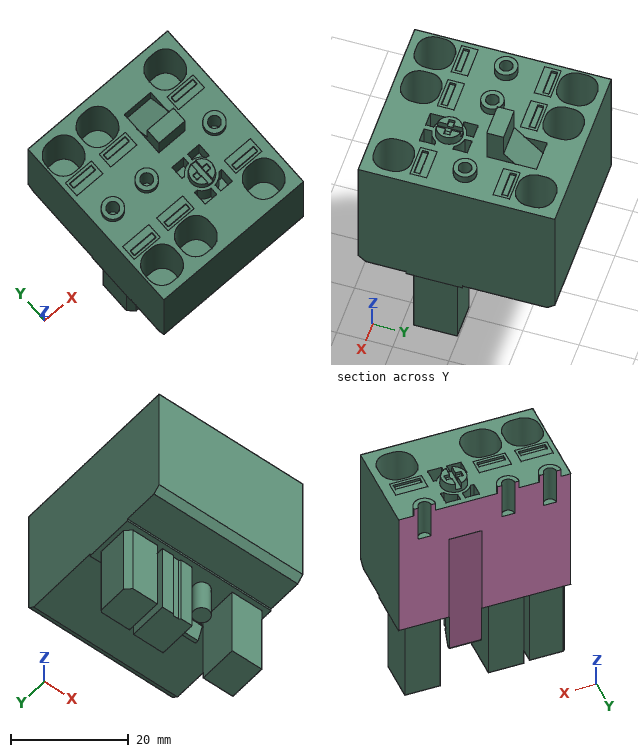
import cadquery as cq


housing_x = 31.5
housing_y = 35.05
housing_bottom = 16.0
housing_top = 41.1
edge_chamfer_y = 1.4
edge_chamfer_z = 1.2

pad_bottom = 15.5
pad_front = -9.0
pad_back = 1.05

pole_pitch = 7.65
first_pole_x = -11.92
pole_xs = [first_pole_x + pole_pitch * i for i in (0, 1, 3)]

wire_hole_size = 6.75
wire_hole_corner_radius = 2.8
wire_hole_y = 12.7
wire_hole_depth = 16.7

tube_outer_radius = 2.0
tube_bore_radius = 1.15
tube_top = 42.65
tube_bore_depth = 7.15

leg_offset_x = 0.3
leg_width = 6.5
leg_front = -8.0
leg_back = -0.25
end_leg_back = -0.55
end_leg_big_chamfer = 1.15
end_leg_small_chamfer = 0.35
groove_width = 1.65
groove_depth = 0.3

terminal_x = 5.85
terminal_y = 2.95
terminal_height = 14.3
terminal_center_y = 7.4
terminal_slot_x = 4.85
terminal_slot_y = 1.05
terminal_slot_shift = 0.45
terminal_slot_depth = 0.5

screw_x = 3.63
screw_y = -5.15
shaft_radius = 1.65
shaft_bottom = 8.75
head_base_radius = 2.4
head_top_radius = 2.25
head_top = 42.8
drive_width = 1.05
drive_slot_depth = 1.1
drive_cross_depth = 0.55
drive_cross_length = 3.1

pocket_field_x = 6.1
pocket_field_y = 8.55
pocket_field_center_y = -5.25
pocket_rib_width = 0.9
pocket_band_y = 3.3
pocket_collar_radius = 2.95
pocket_depth = 5.72

lever_width = 5.9
lever_x = 3.55
lever_top = 47.7
lever_front = 2.45
lever_back = 5.45
slope_top = 43.1
slope_back = 11.3
slope_bottom = slope_top - (slope_back - lever_back)
shelf_top = 33.4
shelf_bottom = 29.57
stem_front = -1.65
stem_back_at_pad = 0.55
lever_tip = 8.25
tip_back = 0.0
stem_back_at_shelf = tip_back + (stem_back_at_pad - tip_back) * (
    (shelf_bottom - lever_tip) / (pad_bottom - lever_tip)
)
barb_top = 11.3
barb_edge = 11.0
barb_front = -1.9
tip_front = -0.7


def box(x_min, x_max, y_min, y_max, z_min, z_max):
    return cq.Workplane("XY").box(
        x_max - x_min, y_max - y_min, z_max - z_min, centered=False
    ).translate((x_min, y_min, z_min))


def centered_box(x, y, size_x, size_y, z_min, z_max):
    return box(x - size_x / 2, x + size_x / 2, y - size_y / 2, y + size_y / 2, z_min, z_max)


def cylinder(x, y, radius, z_min, z_max):
    return cq.Workplane("XY", origin=(x, y, z_min)).circle(radius).extrude(z_max - z_min)


def make_lever():
    """Sloped thumb piece on a cranked stem that ends in a barb."""
    profile = [
        (lever_front, lever_top),
        (lever_back, lever_top),
        (lever_back, slope_top),
        (slope_back, slope_bottom),
        (slope_back, shelf_bottom),
        (stem_back_at_shelf, shelf_bottom),
        (tip_back, lever_tip),
        (tip_front, lever_tip),
        (barb_front, barb_edge),
        (barb_front, barb_top),
        (stem_front, barb_top),
        (stem_front, shelf_top),
        (lever_front, shelf_top),
    ]
    return (
        cq.Workplane("YZ", origin=(lever_x, 0, 0))
        .polyline(profile)
        .close()
        .extrude(lever_width / 2, both=True)
    )


def make_lever_window():
    """Opening in the top of the housing above the slope of the lever."""
    x_min = lever_x - lever_width / 2
    x_max = lever_x + lever_width / 2
    return box(x_min, x_max, lever_front, slope_back, slope_bottom, housing_top)


def make_screw_shaft():
    return cylinder(screw_x, screw_y, shaft_radius, shaft_bottom, housing_top)


def make_screw():
    """Shaft through the housing with a tapered cross-drive head on top."""
    head = (
        cq.Workplane("XY", origin=(screw_x, screw_y, housing_top))
        .circle(head_base_radius)
        .workplane(offset=head_top - housing_top)
        .circle(head_top_radius)
        .loft()
    )
    slot_floor = head_top - drive_slot_depth
    cross_floor = head_top - drive_cross_depth
    slot = centered_box(screw_x, screw_y, drive_width, 2 * head_base_radius, slot_floor, head_top)
    cross = centered_box(screw_x, screw_y, drive_cross_length, drive_width, cross_floor, head_top)
    return make_screw_shaft().union(head).cut(slot).cut(cross)


def make_terminal_block(x, side):
    """Outer block of a terminal; side is +1 for the +Y row and -1 for the -Y row."""
    return centered_box(
        x, side * terminal_center_y, terminal_x, terminal_y, housing_top - terminal_height, housing_top
    )


def make_terminal(x, side):
    slot_y = side * (terminal_center_y + terminal_slot_shift)
    slot = centered_box(
        x, slot_y, terminal_slot_x, terminal_slot_y, housing_top - terminal_slot_depth, housing_top
    )
    return make_terminal_block(x, side).cut(slot)


def make_screw_pockets():
    """Four corner pockets that leave a cross of ribs and a round collar around the screw."""
    floor = housing_top - pocket_depth
    field = centered_box(screw_x, pocket_field_center_y, pocket_field_x, pocket_field_y, floor, housing_top)
    rib = centered_box(screw_x, pocket_field_center_y, pocket_rib_width, pocket_field_y, floor, housing_top)
    band = centered_box(screw_x, screw_y, pocket_field_x, pocket_band_y, floor, housing_top)
    collar = cylinder(screw_x, screw_y, pocket_collar_radius, floor, housing_top)
    return field.cut(rib).cut(band).cut(collar)


def make_wire_hole(x, y):
    floor = housing_top - wire_hole_depth
    hole = centered_box(x, y, wire_hole_size, wire_hole_size, floor, housing_top)
    return hole.edges("|Z").fillet(wire_hole_corner_radius)


def make_leg(x, back):
    return box(x - leg_width / 2, x + leg_width / 2, leg_front, back, 0, pad_bottom)


def make_legs():
    end_leg_x, grooved_leg_x, plain_leg_x = [x + leg_offset_x for x in pole_xs]

    end_leg = (
        make_leg(end_leg_x, end_leg_back)
        .edges("|Z and <X and <Y").chamfer(end_leg_big_chamfer)
        .edges("|Z and <X and >Y").chamfer(end_leg_small_chamfer)
    )

    groove = (
        cq.Workplane("XY", origin=(grooved_leg_x, leg_front, 0))
        .moveTo(-groove_width / 2, 0)
        .lineTo(-groove_width / 2 + groove_depth, groove_depth)
        .lineTo(groove_width / 2 - groove_depth, groove_depth)
        .lineTo(groove_width / 2, 0)
        .close()
        .extrude(pad_bottom)
    )
    return [end_leg, make_leg(grooved_leg_x, leg_back).cut(groove), make_leg(plain_leg_x, leg_back)]


def make_housing():
    half_y = housing_y / 2
    profile = [
        (-half_y, housing_top),
        (half_y, housing_top),
        (half_y, housing_bottom + edge_chamfer_z),
        (half_y - edge_chamfer_y, housing_bottom),
        (pad_back, housing_bottom),
        (pad_back, pad_bottom),
        (pad_front, pad_bottom),
        (pad_front, housing_bottom),
        (-half_y + edge_chamfer_y, housing_bottom),
        (-half_y, housing_bottom + edge_chamfer_z),
    ]
    body = cq.Workplane("YZ").polyline(profile).close().extrude(housing_x / 2, both=True)

    for leg in make_legs():
        body = body.union(leg)

    for x in pole_xs:
        body = body.union(cylinder(x, 0, tube_outer_radius, housing_top, tube_top))
        body = body.cut(cylinder(x, 0, tube_bore_radius, tube_top - tube_bore_depth, tube_top))
        for side in (1, -1):
            body = body.cut(make_wire_hole(x, side * wire_hole_y))
            body = body.cut(make_terminal_block(x, side))

    body = body.cut(make_lever_window()).cut(make_lever())
    return body.cut(make_screw_pockets()).cut(make_screw_shaft())


housing = make_housing()
lever = make_lever()
screw = make_screw()
terminals = [make_terminal(x, side).val() for x in pole_xs for side in (1, -1)]

result = cq.Compound.makeCompound([housing.val(), lever.val(), screw.val(), *terminals])